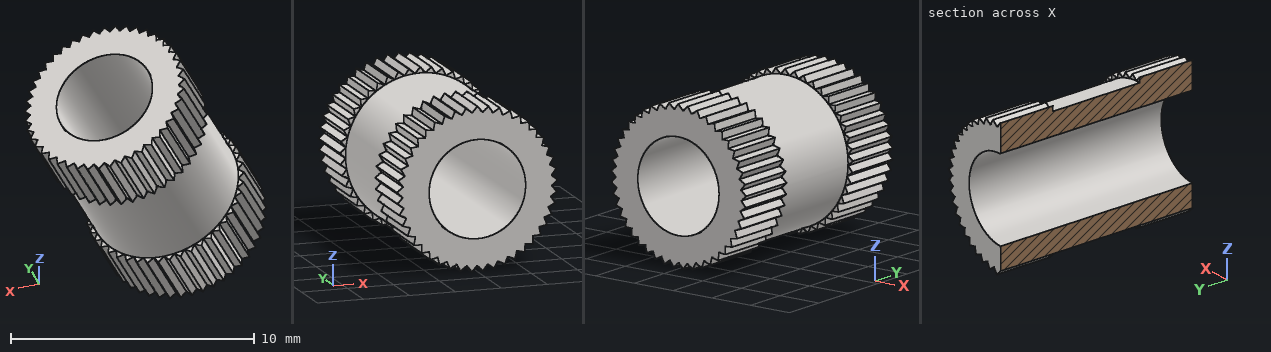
import cadquery as cq
import math

length = 10.0
knurl_length = 2.75
tip_radius = 3.5
body_radius = 3.25
bore_diameter = 4.2
tooth_count = 45

neck_length = length - 2 * knurl_length
tooth_pitch = 2 * math.pi / tooth_count


def point_at(radius, angle):
    """Point in the XZ cross-section, with the angle measured from +Z."""
    return (radius * math.sin(angle), radius * math.cos(angle))


def toothed_outline():
    """V-shaped teeth whose roots lie on the body surface; one tip points to +Z."""
    points = []
    for tooth in range(tooth_count):
        tip_angle = tooth * tooth_pitch
        points.append(point_at(tip_radius, tip_angle))
        points.append(point_at(body_radius, tip_angle + tooth_pitch / 2))
    return points


def knurled_band(start_y):
    """Band of straight teeth reaching from start_y towards +Y."""
    plane = cq.Workplane("XZ", origin=(0, start_y, 0))
    return plane.polyline(toothed_outline()).close().extrude(-knurl_length)


def cylinder_along_y(radius, start_y, height):
    return cq.Workplane("XZ", origin=(0, start_y, 0)).circle(radius).extrude(-height)


front_band = knurled_band(-length / 2)
rear_band = knurled_band(length / 2 - knurl_length)
neck = cylinder_along_y(body_radius, -neck_length / 2, neck_length)
bore = cylinder_along_y(bore_diameter / 2, -length / 2, length)

result = front_band.union(neck).union(rear_band).cut(bore)